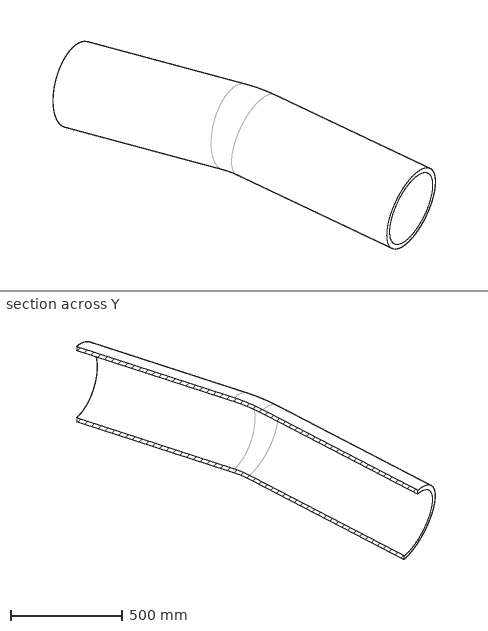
import cadquery as cq
import math

overall_length = 1811.0
outer_diameter = 400.0
bore_diameter = 353.0
bend_radius = 1.5 * outer_diameter
bend_angle = 11.0

sine = math.sin(math.radians(bend_angle))
cosine = math.cos(math.radians(bend_angle))
outer_bend_radius = bend_radius + outer_diameter / 2
leg_length = (overall_length - outer_bend_radius * sine) / (1 + cosine)


def ring(plane):
    """Pipe cross-section on the given plane."""
    return cq.Workplane(plane).circle(outer_diameter / 2).circle(bore_diameter / 2)


inlet_leg = ring("YZ").extrude(leg_length)

bend_start = cq.Plane(origin=(leg_length, 0, 0), xDir=(0, 1, 0), normal=(1, 0, 0))
bend = ring(bend_start).revolve(bend_angle, (0, -bend_radius, 0), (1, -bend_radius, 0))

bend_end = cq.Plane(
    origin=(leg_length + bend_radius * sine, 0, -bend_radius * (1 - cosine)),
    xDir=(0, 1, 0),
    normal=(cosine, 0, -sine),
)
outlet_leg = ring(bend_end).extrude(leg_length)

result = inlet_leg.union(bend).union(outlet_leg)